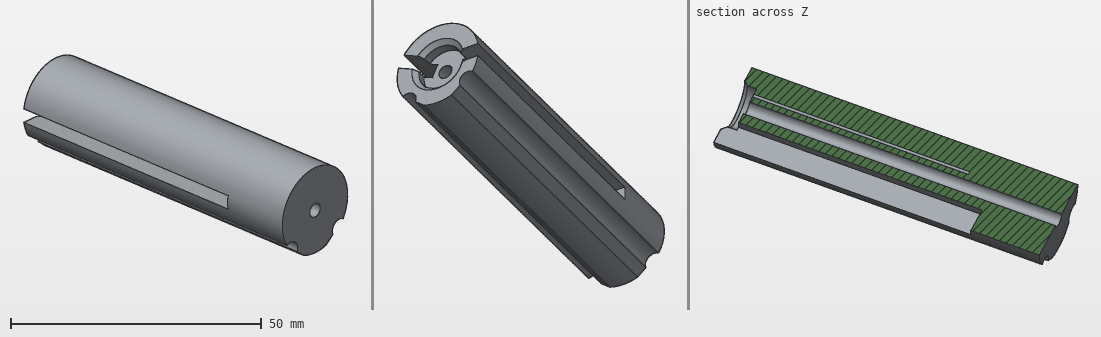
import cadquery as cq

LENGTH = 71.0
BODY_RADIUS = 9.5

SOCKET_RADIUS = 5.0
SOCKET_DEPTH = 3.0
SOCKET_CHAMFER = 1.0
BORE_RADIUS = 1.5

SLOT_WIDTH = 3.0
SIDE_SLOT_LENGTH = 56.0
SIDE_SLOT_FLOOR = 4.0
SIDE_SLOT_ANGLE = 180.0
TILTED_SLOT_LENGTH = 50.0
TILTED_SLOT_FLOOR = 2.7
TILTED_SLOT_ANGLE = 25.0

FLAT_DISTANCE = 8.95
FLAT_ANGLE = -50.5
GROOVE_RADIUS = 2.0
GROOVE_Y = 7.05
GROOVE_Z = -6.55


def rod(radius, length, y=0.0, z=0.0):
    """Cylinder along +X, starting at X = 0."""
    return cq.Workplane("YZ").center(y, z).circle(radius).extrude(length)


def radial_block(length, inner, width, angle):
    """Box reaching outward from the distance `inner`, turned about X from +Y toward +Z."""
    block = cq.Workplane("XY").box(length, BODY_RADIUS, width, centered=(False, False, True))
    return block.translate((0, inner, 0)).rotate((0, 0, 0), (1, 0, 0), angle)


def socket():
    """Blind round socket with a chamfered mouth."""
    mouth_radius = SOCKET_RADIUS + SOCKET_CHAMFER
    profile = [
        (0, 0),
        (0, mouth_radius),
        (SOCKET_CHAMFER, SOCKET_RADIUS),
        (SOCKET_DEPTH, SOCKET_RADIUS),
        (SOCKET_DEPTH, 0),
    ]
    return cq.Workplane("XY").polyline(profile).close().revolve(360, (0, 0, 0), (1, 0, 0))


def lower_relief():
    """Flat and round groove on the +Y side."""
    flat = radial_block(LENGTH, FLAT_DISTANCE, 2 * BODY_RADIUS, FLAT_ANGLE)
    groove = rod(GROOVE_RADIUS, LENGTH, GROOVE_Y, GROOVE_Z)
    return flat.union(groove)


body = rod(BODY_RADIUS, LENGTH)
body = body.cut(socket())
body = body.cut(rod(BORE_RADIUS, LENGTH))
body = body.cut(radial_block(SIDE_SLOT_LENGTH, SIDE_SLOT_FLOOR, SLOT_WIDTH, SIDE_SLOT_ANGLE))
body = body.cut(radial_block(TILTED_SLOT_LENGTH, TILTED_SLOT_FLOOR, SLOT_WIDTH, TILTED_SLOT_ANGLE))

relief = lower_relief()
body = body.cut(relief)
body = body.cut(relief.mirror("XZ"))

result = body